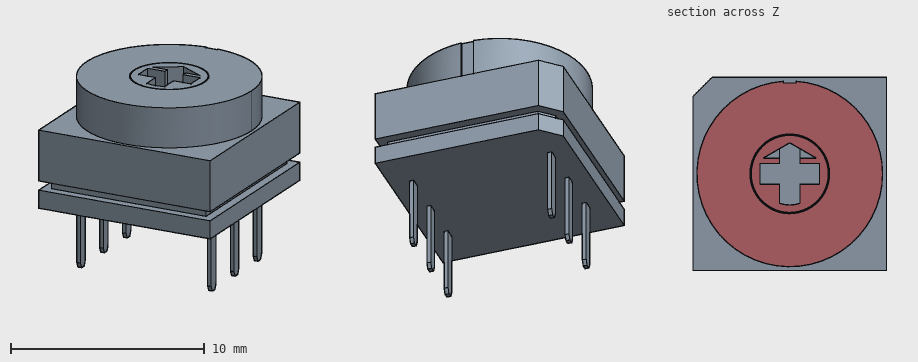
import cadquery as cq
import math

HOUSING_SIDE = 10.0
CORNER_CUT = 1.0
BASE_HEIGHT = 1.0
NECK_HEIGHT = 0.5
NECK_INSET = 0.5
COVER_HEIGHT = 2.8

KNOB_DIAMETER = 9.6
KNOB_HEIGHT = 2.2
NOTCH_WIDTH = 0.67
NOTCH_DEPTH = 0.1

ROTOR_DIAMETER = 4.0
ROTOR_BORE_DIAMETER = 4.1

SLOT_DEPTH = KNOB_HEIGHT
ARROW_DEPTH = 2.0
SLOT_WIDTH = 1.05
CROSS_SLOT_LENGTH = 3.06
SLOT_END_RADIUS = 1.6
ARROW_TIP_Y = 1.6
ARROW_BASE_Y = 0.81
ARROW_HALF_ANGLE = 60.0

PIN_THICKNESS = 0.22
PIN_WIDTH = 0.55
PIN_LENGTH = 3.8
PIN_PITCH = 2.54
PINS_PER_ROW = 3
ROW_SPACING = 7.62
PIN_TIP_WIDTH = 0.28
PIN_TIP_HEIGHT = 0.3

neck_bottom = BASE_HEIGHT
cover_bottom = neck_bottom + NECK_HEIGHT
knob_bottom = cover_bottom + COVER_HEIGHT
knob_top = knob_bottom + KNOB_HEIGHT


def housing_layer(bottom, height, inset=0.0):
    """Square slab with the -X +Y corner cut, every side moved inward by the inset."""
    half = HOUSING_SIDE / 2 - inset
    leg = CORNER_CUT - inset * (2 - math.sqrt(2))
    outline = [
        (-half, -half),
        (half, -half),
        (half, half),
        (leg - half, half),
        (-half, half - leg),
    ]
    return cq.Workplane("XY").workplane(offset=bottom).polyline(outline).close().extrude(height)


def make_housing():
    base = housing_layer(0, BASE_HEIGHT)
    neck = housing_layer(neck_bottom, NECK_HEIGHT, NECK_INSET)
    cover = housing_layer(cover_bottom, COVER_HEIGHT)
    return base.union(neck).union(cover)


def make_knob():
    """Round knob with an index notch in its rim on the +Y side."""
    knob_plane = cq.Workplane("XY").workplane(offset=knob_bottom)
    knob = knob_plane.circle(KNOB_DIAMETER / 2).extrude(KNOB_HEIGHT)
    notch = (
        knob_plane.center(0, KNOB_DIAMETER / 2)
        .rect(NOTCH_WIDTH, 2 * NOTCH_DEPTH)
        .extrude(KNOB_HEIGHT)
    )
    return knob.cut(notch)


def make_rotor_gap():
    return (
        cq.Workplane("XY")
        .workplane(offset=knob_bottom)
        .circle(ROTOR_BORE_DIAMETER / 2)
        .circle(ROTOR_DIAMETER / 2)
        .extrude(KNOB_HEIGHT)
    )


def make_recess():
    """Cross slot whose -Y arm ends in an arc and whose +Y arm runs into a shallower arrowhead."""
    slot_floor = cq.Workplane("XY").workplane(offset=knob_top - SLOT_DEPTH)
    arrow_floor = cq.Workplane("XY").workplane(offset=knob_top - ARROW_DEPTH)
    half_slot = SLOT_WIDTH / 2
    arm_end_y = -math.sqrt(SLOT_END_RADIUS**2 - half_slot**2)
    arrow_spread = math.tan(math.radians(ARROW_HALF_ANGLE))
    arrow_half_width = (ARROW_TIP_Y - ARROW_BASE_Y) * arrow_spread
    shoulder_y = ARROW_TIP_Y - half_slot / arrow_spread
    shaft = (
        slot_floor.moveTo(-half_slot, shoulder_y)
        .lineTo(-half_slot, arm_end_y)
        .threePointArc((0, -SLOT_END_RADIUS), (half_slot, arm_end_y))
        .lineTo(half_slot, shoulder_y)
        .lineTo(0, ARROW_TIP_Y)
        .close()
        .extrude(SLOT_DEPTH)
    )
    cross_slot = slot_floor.rect(CROSS_SLOT_LENGTH, SLOT_WIDTH).extrude(SLOT_DEPTH)
    arrowhead = (
        arrow_floor.polyline(
            [
                (-arrow_half_width, ARROW_BASE_Y),
                (arrow_half_width, ARROW_BASE_Y),
                (0, ARROW_TIP_Y),
            ]
        )
        .close()
        .extrude(ARROW_DEPTH)
    )
    return shaft.union(cross_slot).union(arrowhead)


def make_pin(x, y):
    """Flat pin hanging below the housing, its width along Y narrowing at the tip."""
    half_width = PIN_WIDTH / 2
    half_tip = PIN_TIP_WIDTH / 2
    taper_top = PIN_TIP_HEIGHT - PIN_LENGTH
    outline = [
        (-half_width, 0),
        (half_width, 0),
        (half_width, taper_top),
        (half_tip, -PIN_LENGTH),
        (-half_tip, -PIN_LENGTH),
        (-half_width, taper_top),
    ]
    pin = cq.Workplane("YZ").polyline(outline).close().extrude(PIN_THICKNESS / 2, both=True)
    return pin.translate((x, y, 0))


result = make_housing().union(make_knob())
result = result.cut(make_rotor_gap()).cut(make_recess())
for row_x in (-ROW_SPACING / 2, ROW_SPACING / 2):
    for index in range(PINS_PER_ROW):
        pin_y = (index - (PINS_PER_ROW - 1) / 2) * PIN_PITCH
        result = result.union(make_pin(row_x, pin_y))